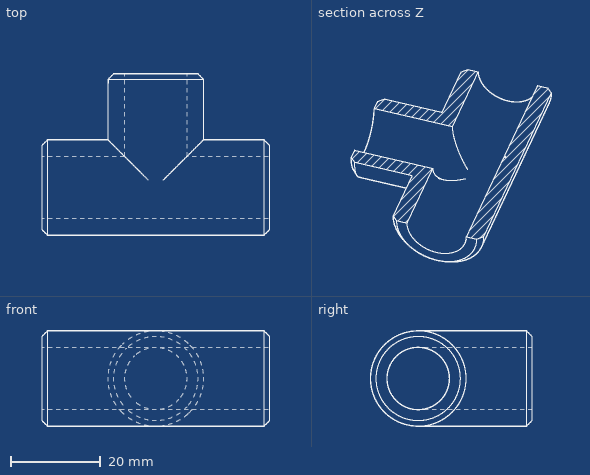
import cadquery as cq

outer_diameter = 21.34
wall_thickness = 3.73
run_length = 50.8
branch_length = run_length / 2
end_chamfer = 1.27

bore_diameter = outer_diameter - 2 * wall_thickness


def run_cylinder(diameter):
    """Cylinder along X, centred on the origin."""
    return cq.Workplane("YZ").circle(diameter / 2).extrude(run_length / 2, both=True)


def branch_cylinder(diameter):
    """Cylinder from the run axis out to the branch end at +Y."""
    return cq.Workplane("XZ").circle(diameter / 2).extrude(-branch_length)


def tee_body():
    """Solid outer shape with all three pipe ends chamfered."""
    run = run_cylinder(outer_diameter).faces("<X or >X").chamfer(end_chamfer)
    branch = branch_cylinder(outer_diameter).faces(">Y").chamfer(end_chamfer)
    return run.union(branch)


def tee_bore():
    """Connected passages of the run and the branch."""
    return run_cylinder(bore_diameter).union(branch_cylinder(bore_diameter))


result = tee_body().cut(tee_bore())